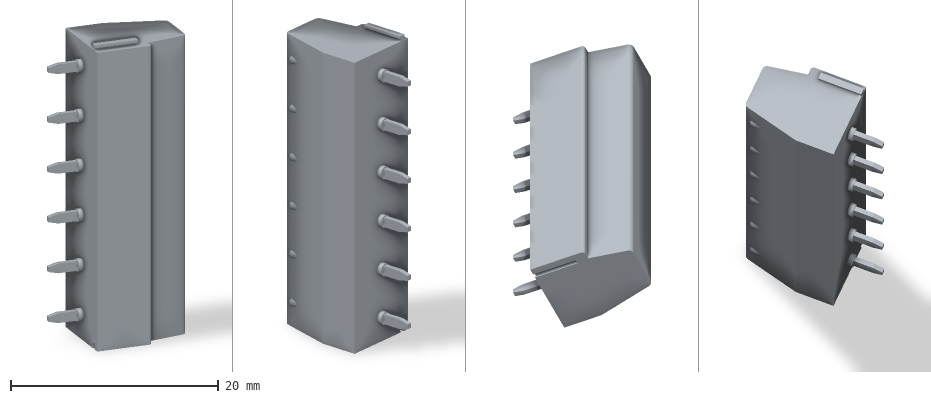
import cadquery as cq
import math

POLES = 6
PITCH = 5.08
LENGTH = POLES * PITCH

HALF_WIDTH = 4.05
HEIGHT = 10.0
FRONT_WALL_HEIGHT = 3.95
FRONT_SLOPE_DEG = 15.0
LEDGE_HEIGHT = 5.7
LEDGE_INNER_X = 3.1
BACK_TOP_X = 2.38
TOP_FILLET = 0.5
LEDGE_FILLET = 0.3

RIB_X = 3.15
RIB_HEIGHT = 0.57
RIB_HEAD_HEIGHT = 0.27
RIB_NECK_HEIGHT = 0.1
RIB_HEAD_WIDTH = 0.72
RIB_NECK_WIDTH = 0.42
RIB_RUN = 4.5

COLLAR_DIAMETER = 1.3
COLLAR_HEIGHT = 0.5
PIN_LENGTH = 3.5
PIN_THICKNESS = 0.5
PIN_WIDTH = 1.0
PIN_TIP_WIDTH = 0.5
PIN_TAPER_LENGTH = 1.0

STUD_RADIUS = 0.48
STUD_X = -2.44
STUD_DOME_Y = 8.92
STUD_START_Y = HEIGHT / 2


def make_housing():
    front_top_x = -HALF_WIDTH + (HEIGHT - FRONT_WALL_HEIGHT) * math.tan(math.radians(FRONT_SLOPE_DEG))
    profile = [
        (-HALF_WIDTH, 0),
        (HALF_WIDTH, 0),
        (HALF_WIDTH, LEDGE_HEIGHT),
        (LEDGE_INNER_X, LEDGE_HEIGHT),
        (BACK_TOP_X, HEIGHT),
        (front_top_x, HEIGHT),
        (-HALF_WIDTH, FRONT_WALL_HEIGHT),
    ]
    housing = cq.Workplane("XY").polyline(profile).close().extrude(LENGTH)
    housing = housing.faces(">Y").edges("|Z").fillet(TOP_FILLET)
    ledge_corner = cq.selectors.NearestToPointSelector((HALF_WIDTH, LEDGE_HEIGHT, LENGTH / 2))
    return housing.edges("|Z").edges(ledge_corner).fillet(LEDGE_FILLET)


def make_rib(base_z):
    """Flared rib: a straight narrow neck widening to a straight-sided head."""
    neck_top_z = base_z + RIB_NECK_HEIGHT
    head_base_z = base_z + RIB_HEIGHT - RIB_HEAD_HEIGHT
    top_z = base_z + RIB_HEIGHT
    half_neck = RIB_NECK_WIDTH / 2
    half_head = RIB_HEAD_WIDTH / 2
    section = [
        (RIB_X - half_neck, base_z),
        (RIB_X + half_neck, base_z),
        (RIB_X + half_neck, neck_top_z),
        (RIB_X + half_head, head_base_z),
        (RIB_X + half_head, top_z),
        (RIB_X - half_head, top_z),
        (RIB_X - half_head, head_base_z),
        (RIB_X - half_neck, neck_top_z),
    ]
    return cq.Workplane("XZ").polyline(section).close().extrude(-RIB_RUN)


def make_pin(z):
    """Round collar carrying a flat blade with a tapered tip, pointing toward -Y."""
    collar = cq.Workplane("XZ").center(0, z).circle(COLLAR_DIAMETER / 2).extrude(COLLAR_HEIGHT)
    half_width = PIN_WIDTH / 2
    half_tip = PIN_TIP_WIDTH / 2
    taper_y = PIN_TAPER_LENGTH - PIN_LENGTH
    outline = [
        (0, z - half_width),
        (taper_y, z - half_width),
        (-PIN_LENGTH, z - half_tip),
        (-PIN_LENGTH, z + half_tip),
        (taper_y, z + half_width),
        (0, z + half_width),
    ]
    blade = cq.Workplane("YZ").polyline(outline).close().extrude(PIN_THICKNESS / 2, both=True)
    return collar.union(blade)


def make_stud(z):
    """Cylinder along Y with a hemispherical end."""
    shank_length = STUD_DOME_Y - STUD_START_Y
    shank = (
        cq.Workplane("XZ", origin=(STUD_X, STUD_START_Y, z))
        .circle(STUD_RADIUS)
        .extrude(-shank_length)
    )
    dome = cq.Workplane("XY").sphere(STUD_RADIUS).translate((STUD_X, STUD_DOME_Y, z))
    return shank.union(dome)


result = make_housing().union(make_rib(LENGTH)).cut(make_rib(0))
for pole in range(POLES):
    pole_z = (pole + 0.5) * PITCH
    result = result.union(make_pin(pole_z)).union(make_stud(pole_z))